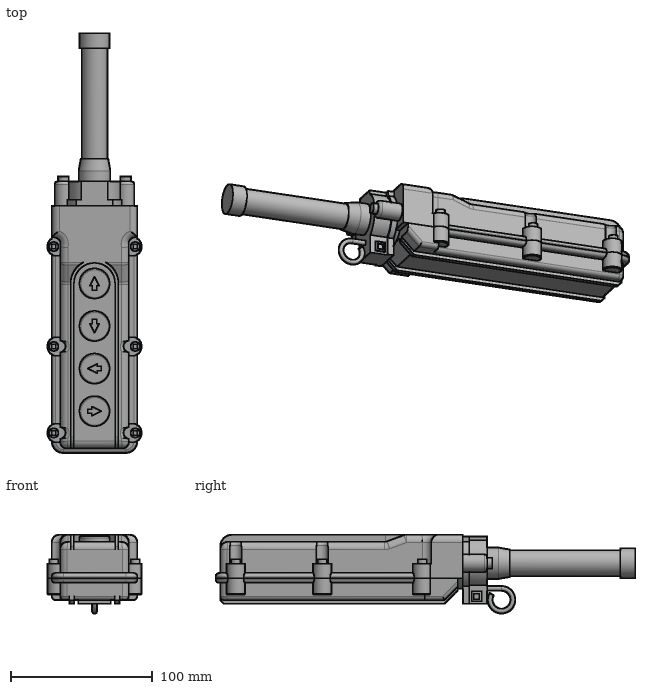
import cadquery as cq
import math


narrow_half = 24.3
wide_half = 30.2
case_length = 171.0
wide_length = 27.0
top_z = 30.8
panel_z = 25.8
slope_start = 40.8
slope_end = 54.5
slope_round = 5.0
corner_round = 4.7
top_round = 5.3

cover_back = 3.5
cover_bottom_z = -15.5
cover_slant = 9.5
cover_bottom_round = 3.0
neck_radius = 18.0
rib_depth = 2.7
rib_width = 3.5
rib_x = 16.0

flange_overhang = 3.3
flange_corner = 8.3
flange_up = 3.8
flange_down = 3.3
flange_round = 2.7

boss_x = 26.5
boss_diameter = 13.3
boss_radius = boss_diameter / 2
boss_top_z = 10.5
boss_bottom_z = -11.5
boss_chamfer = 0.5
head_boss_y = -28.7
side_boss_ys = (-99.2, -160.0)
boss_ys = (head_boss_y, *side_boss_ys)
head_channel_x = 28.7
head_channel_y = -wide_length
head_channel_radius = 4.7
head_channel_flare = 5.3
side_channel_x = 24.5
side_channel_radius = 4.0
side_channel_flare = 2.5
screw_x = 28.7
screw_radius = 3.3
screw_height = 3.3
socket_size = 3.0
socket_depth = 1.2

arrow_angles = (0, 180, 90, -90)
first_button_y = -54.8
last_button_y = -144.7
button_pitch = (last_button_y - first_button_y) / (len(arrow_angles) - 1)
button_radius = 10.7
button_top_z = 29.5
button_round = 1.0
arrow_length = 9.5
arrow_width = 6.5
arrow_head = 6.5
arrow_stem = 3.0
arrow_height = 0.5
guard_inner = 14.5
guard_wall = 2.5
guard_outer = guard_inner + guard_wall
guard_nose = 8.3
guard_foot_z = 17.8

axis_z = 10.7
flange_plate = 4.5
head_length = 17.2
head_radius = 18.5
plate_radius = 19.8
head_top_z = 29.5
head_bottom_z = -18.0
top_block_half = 9.2
plate_block_half = 12.7
ear_x = 22.0
ear_radius = 6.2
ear_round = 2.0
head_screw_radius = 3.8
head_screw_height = 3.5
lug_half = 10.5
plate_lug_half = 11.5
pad_size = 7.0
pad_height = 1.0
pad_socket = 3.8
pad_y = 9.8
pad_z = -12.7

boot_radius = 11.2
boot_neck_radius = 9.8
boot_end = 25.0
boot_taper_end = 33.2
sleeve_radius = 9.2
collar_radius = 10.7
collar_start = 111.0
cable_end = 121.7

ring_y = 27.2
ring_z = -15.0
ring_radius = 8.0
ring_wire = 1.8
ring_sweep = 300


def block(x_half, y_low, y_high, z_low, z_high):
    """Box centred on X between the given Y and Z limits."""
    size = (2 * x_half, y_high - y_low, z_high - z_low)
    return cq.Workplane("XY").box(*size, centered=(True, False, False)).translate((0, y_low, z_low))


def upright(x, y, radius, z_low, z_high):
    """Vertical cylinder."""
    return cq.Workplane("XY", origin=(x, y, z_low)).circle(radius).extrude(z_high - z_low)


def along_y(x, z, radius, y_low, y_high):
    """Cylinder along the pendant."""
    return cq.Workplane("XZ", origin=(x, y_low, z)).circle(radius).extrude(y_low - y_high)


def boss_places(x):
    """Mirrored X, Y places of the case screws."""
    return [(side * x, y) for y in boss_ys for side in (-1, 1)]


def flange(z_low, z_high, outer_face):
    """One half of the flange that runs round the parting plane."""
    rim = block(wide_half, -case_length - flange_overhang, -wide_length, z_low, z_high)
    rim = rim.edges("|Z and <Y").fillet(flange_corner)
    return rim.faces(outer_face).edges("not >Y").fillet(flange_round)


def shell(half_width, side_profile):
    """Extrude a Y, Z side profile, given as a list of points, to both sides of the middle."""
    plane = cq.Workplane("YZ", origin=(-half_width, 0, 0))
    return plane.polyline(side_profile).close().extrude(2 * half_width)


def front_body():
    """Upper shell, stepping down from the wide head end to the narrow, lower button end."""
    narrow = shell(narrow_half, [
        (0, 0),
        (0, top_z),
        (-slope_start, top_z),
        (-slope_end, panel_z),
        (-case_length, panel_z),
        (-case_length, 0),
    ])
    slope_bends = cq.selectors.BoxSelector(
        (-wide_half, -slope_end - slope_round, panel_z - slope_round),
        (wide_half, -slope_start + slope_round, top_z + slope_round),
    )
    narrow = narrow.edges("|X").edges(slope_bends).fillet(slope_round)
    narrow = narrow.edges("|Z and <Y").fillet(corner_round)
    narrow = narrow.faces("<X or >X").edges("not(|Z or <Z or >Y)").fillet(top_round)
    wide = block(wide_half, -wide_length, 0, 0, top_z)
    wide = wide.edges("|Y and >Z").fillet(top_round)
    return narrow.union(wide)


def cover_body():
    """Lower shell with a slanted back end and rounded bottom edges."""
    slant_top = (-cover_back, cover_bottom_z + cover_slant)
    slant_bottom = (-cover_back - cover_slant, cover_bottom_z)

    def profile(length):
        return [(-cover_back, 0), slant_top, slant_bottom, (-length, cover_bottom_z), (-length, 0)]

    narrow = shell(narrow_half, profile(case_length))
    narrow = narrow.edges("|Z and <Y").fillet(corner_round)
    narrow = narrow.faces("<X or >X").edges("not(|Z or >Z)").fillet(cover_bottom_round)
    wide = shell(wide_half, profile(wide_length))
    wide = wide.faces("<X or >X").edges("not(|Z or >Z)").fillet(cover_bottom_round)
    return narrow.union(wide)


def channel(x, y, rim_z, radius, flare):
    """Cutter for a screwdriver channel that flares out at the rim of the case."""
    flare_z = rim_z - flare
    flare_radius = radius + flare
    turn = flare * math.sqrt(0.5)
    return (
        cq.Workplane("XZ", origin=(x, y, 0))
        .moveTo(0, boss_top_z)
        .lineTo(radius, boss_top_z)
        .lineTo(radius, flare_z)
        .threePointArc((flare_radius - turn, flare_z + turn), (flare_radius, rim_z))
        .lineTo(0, rim_z)
        .close()
        .revolve(360, (0, 0), (0, 1))
    )


def panel_plan(half_width, z_low, z_high):
    """Panel shape: a half circle round the first button, then straight to the front end."""
    return (
        cq.Workplane("XY", origin=(0, 0, z_low))
        .moveTo(-half_width, -case_length)
        .lineTo(-half_width, first_button_y)
        .threePointArc((0, first_button_y + half_width), (half_width, first_button_y))
        .lineTo(half_width, -case_length)
        .close()
        .extrude(z_high - z_low)
    )


def guard():
    """Thin wall round the button panel, rounded down to the front face."""
    wall = panel_plan(guard_outer, guard_foot_z, top_z)
    wall = wall.edges("|X and <Y and >Z").fillet(guard_nose)
    return wall.cut(panel_plan(guard_inner, guard_foot_z, top_z))


def button(y):
    """Round push button standing on the panel."""
    disc = upright(0, y, button_radius, panel_z, button_top_z)
    return disc.faces(">Z").edges().fillet(button_round)


def arrow(y, angle):
    """Raised arrow on a button; at angle 0 it points towards the head."""
    tip = arrow_length / 2
    neck = tip - arrow_head
    half_stem = arrow_stem / 2
    half_head = arrow_width / 2
    return (
        cq.Workplane("XY")
        .polyline([
            (0, tip),
            (half_head, neck),
            (half_stem, neck),
            (half_stem, -tip),
            (-half_stem, -tip),
            (-half_stem, neck),
            (-half_head, neck),
        ])
        .close()
        .extrude(arrow_height)
        .rotate((0, 0, 0), (0, 0, 1), angle)
        .translate((0, y, button_top_z))
    )


def case_screw(x, y):
    """Square-socket screw head standing on a boss."""
    head_z = boss_top_z + screw_height
    socket = (
        cq.Workplane("XY", origin=(x, y, head_z - socket_depth))
        .rect(socket_size, socket_size)
        .extrude(socket_depth)
    )
    return upright(x, y, screw_radius, boss_top_z, head_z).cut(socket)


def make_front_case():
    """Front shell with guard, buttons, upper boss halves and screws."""
    case = front_body()
    for side in (-1, 1):
        case = case.cut(channel(
            side * head_channel_x, head_channel_y, top_z, head_channel_radius, head_channel_flare
        ))
        for y in side_boss_ys:
            case = case.cut(channel(
                side * side_channel_x, y, panel_z, side_channel_radius, side_channel_flare
            ))
    case = case.union(guard()).cut(panel_plan(guard_inner, panel_z, top_z))
    case = case.union(flange(0, flange_up, ">Z"))
    for x, y in boss_places(boss_x):
        case = case.union(upright(x, y, boss_radius, 0, boss_top_z))
    for x, y in boss_places(screw_x):
        case = case.union(case_screw(x, y))
    for index, angle in enumerate(arrow_angles):
        y = first_button_y + index * button_pitch
        case = case.union(button(y)).union(arrow(y, angle))
    return case


def rib(x):
    """Runner along the bottom of the cover, slanted like its back end."""
    slant_z = cover_bottom_z + cover_slant
    runner = shell(rib_width / 2, [
        (-cover_back, slant_z),
        (-cover_back, slant_z - rib_depth),
        (-cover_back - cover_slant, cover_bottom_z - rib_depth),
        (-case_length + rib_depth, cover_bottom_z - rib_depth),
        (-case_length, cover_bottom_z),
        (-case_length, slant_z),
    ])
    return runner.translate((x, 0, 0))


def make_rear_cover():
    """Rear shell with neck, runners and lower boss halves."""
    cover = cover_body()
    neck = along_y(0, axis_z, neck_radius, -cover_back, 0)
    cover = cover.union(neck.cut(block(wide_half, -cover_back, 0, 0, 2 * top_z)))
    for side in (-1, 1):
        cover = cover.union(rib(side * rib_x))
    cover = cover.union(flange(-flange_down, 0, "<Z"))
    for x, y in boss_places(boss_x):
        boss = upright(x, y, boss_radius, boss_bottom_z, 0)
        cover = cover.union(boss.faces("<Z").chamfer(boss_chamfer))
    return cover


def head_layer(y_low, y_high, radius, block_half, lower_half):
    """Round head body with its flat top block and bottom lug."""
    layer = along_y(0, axis_z, radius, y_low, y_high)
    layer = layer.union(block(block_half, y_low, y_high, axis_z, head_top_z))
    layer = layer.union(block(lower_half, y_low, y_high, head_bottom_z, axis_z))
    return layer.intersect(block(wide_half, y_low, y_high, head_bottom_z, head_top_z))


def lug_pads():
    """Square pads with square sockets on both sides of the lug."""
    pad_face = lug_half + pad_height
    pads = cq.Workplane("XY").box(2 * pad_face, pad_size, pad_size)
    for face in (">X", "<X"):
        pads = pads.faces(face).workplane().rect(pad_socket, pad_socket).cutBlind(-pad_height)
    return pads.translate((0, pad_y, pad_z))


def cable_sleeve():
    """Boot, sleeve and end collar turned about the cable axis."""
    return (
        cq.Workplane("XY", origin=(0, 0, axis_z))
        .polyline([
            (0, head_length),
            (boot_radius, head_length),
            (boot_radius, boot_end),
            (boot_neck_radius, boot_taper_end),
            (sleeve_radius, boot_taper_end),
            (sleeve_radius, collar_start),
            (collar_radius, collar_start),
            (collar_radius, cable_end),
            (0, cable_end),
        ])
        .close()
        .revolve(360, (0, 0), (0, 1))
    )


def hanging_ring():
    """Open wire loop hooked into the head by a straight tail."""
    half_sweep = math.radians(ring_sweep / 2)
    middle = (ring_y + ring_radius * math.sin(half_sweep), ring_z + ring_radius * math.cos(half_sweep))
    full_sweep = 2 * half_sweep
    end = (ring_y + ring_radius * math.sin(full_sweep), ring_z + ring_radius * math.cos(full_sweep))
    path = (
        cq.Workplane("YZ")
        .moveTo(flange_plate, ring_z + ring_radius)
        .lineTo(ring_y, ring_z + ring_radius)
        .threePointArc(middle, end)
    )
    wire = cq.Workplane("XZ", origin=(0, flange_plate, ring_z + ring_radius)).circle(ring_wire)
    return wire.sweep(path)


def make_head():
    """Cable head: flanged cap, screws, lug pads, sleeve and ring."""
    head = head_layer(0, flange_plate, plate_radius, plate_block_half, plate_lug_half)
    head = head.union(head_layer(flange_plate, head_length, head_radius, top_block_half, lug_half))
    for side in (-1, 1):
        ear = along_y(side * ear_x, axis_z, ear_radius, 0, head_length)
        head = head.union(ear.faces(">Y").edges().fillet(ear_round))
        screw_end = head_length + head_screw_height
        head = head.union(along_y(side * ear_x, axis_z, head_screw_radius, flange_plate, screw_end))
    return head.union(lug_pads()).union(cable_sleeve()).union(hanging_ring())


front_case = make_front_case()
rear_cover = make_rear_cover()
head = make_head()

result = cq.Compound.makeCompound([front_case.val(), rear_cover.val(), head.val()])